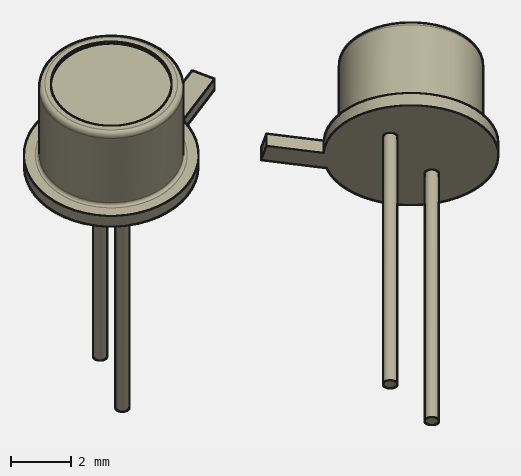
import cadquery as cq

flange_diameter = 5.8
flange_thickness = 0.5

cap_diameter = 4.8
overall_height = 3.8
cap_top_round = 0.2
cap_base_fillet = 0.12
window_diameter = 4.0
window_depth = 0.1

tab_angle = 135.0
tab_width = 0.85
tab_reach = 4.8
tab_offset = 0.9

lead_diameter = 0.48
lead_length = 10.0
lead_pitch = 2.54


def make_header():
    """Flange disc and cap, blended together, with the cap's top edge rounded."""
    flange_top_point = (0, 0, flange_thickness)
    flange = cq.Workplane("XY").circle(flange_diameter / 2).extrude(flange_thickness)
    header = (
        flange.faces(">Z").workplane()
        .circle(cap_diameter / 2)
        .extrude(overall_height - flange_thickness)
    )
    header = header.faces(">Z").edges().fillet(cap_top_round)
    flange_top_edges = header.faces(cq.selectors.NearestToPointSelector(flange_top_point)).edges()
    return flange_top_edges.edges(cq.selectors.RadiusNthSelector(0)).fillet(cap_base_fillet)


def make_window():
    """Shallow round recess in the top of the cap."""
    return (
        cq.Workplane("XY", origin=(0, 0, overall_height - window_depth))
        .circle(window_diameter / 2)
        .extrude(window_depth)
    )


def make_tab():
    """Straight bar, flush with both flange faces, whose inner end lies inside the flange."""
    root = flange_diameter / 4
    bar = cq.Workplane("XY").box(
        tab_reach - root, tab_width, flange_thickness, centered=(False, True, False)
    )
    return bar.translate((root, -tab_offset, 0)).rotate((0, 0, 0), (0, 0, 1), tab_angle)


def make_leads():
    """Two round leads hanging below the flange along the X axis."""
    return (
        cq.Workplane("XY")
        .pushPoints([(-lead_pitch / 2, 0), (lead_pitch / 2, 0)])
        .circle(lead_diameter / 2)
        .extrude(-lead_length)
    )


result = make_header().cut(make_window()).union(make_tab()).union(make_leads())